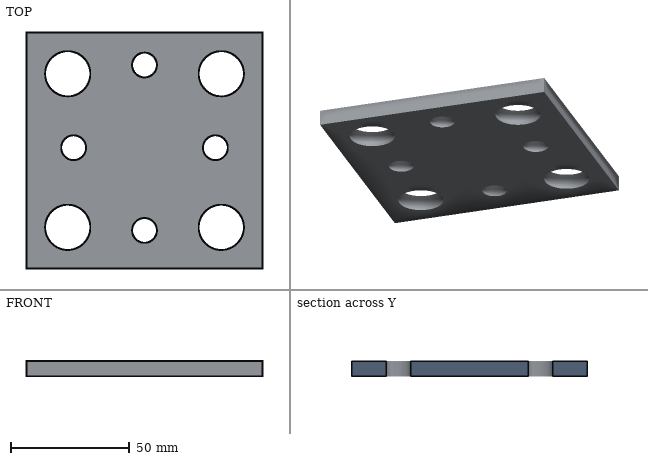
import cadquery as cq

plate_side = 100.0
plate_thickness = 6.6

corner_hole_diameter = 19.05
corner_hole_spacing = 65.0

small_hole_diameter = 10.41
small_hole_spacing_x = 60.0
small_hole_spacing_y = 70.0
small_pattern_offset_y = 1.2


def cut_through_holes(body, centres, diameter):
    """Drill holes of one diameter through the full plate thickness."""
    return body.faces(">Z").workplane(origin=(0, 0, 0)).pushPoints(centres).hole(diameter)


half_corner_spacing = corner_hole_spacing / 2
corner_centres = [
    (side_x * half_corner_spacing, side_y * half_corner_spacing)
    for side_x in (-1, 1)
    for side_y in (-1, 1)
]

small_centres = []
for side in (-1, 1):
    small_centres.append((side * small_hole_spacing_x / 2, small_pattern_offset_y))
    small_centres.append((0, small_pattern_offset_y + side * small_hole_spacing_y / 2))

plate = cq.Workplane("XY").box(plate_side, plate_side, plate_thickness)
plate = cut_through_holes(plate, corner_centres, corner_hole_diameter)
result = cut_through_holes(plate, small_centres, small_hole_diameter)